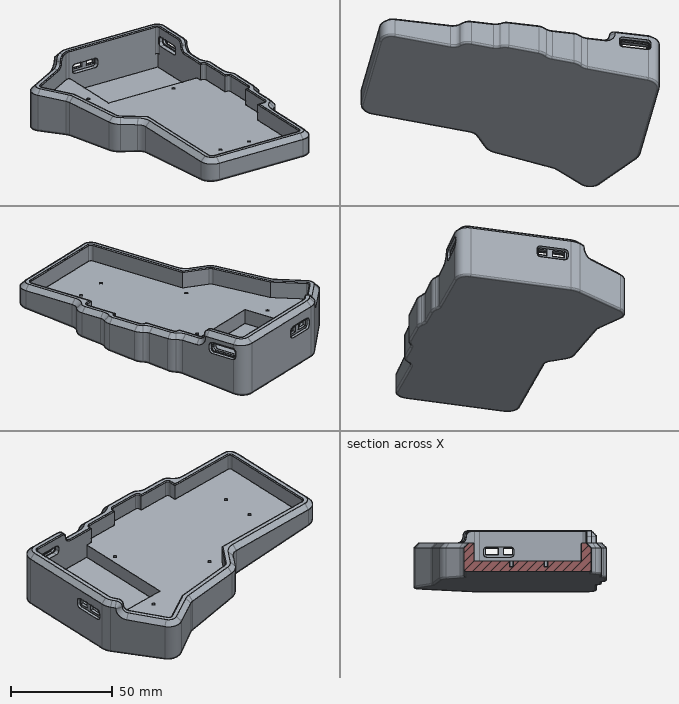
import cadquery as cq
import math

LENGTH = 139.8
WALL = 5.0
RIM_RISE = 6.0
DEPTH_BELOW_RIM = 24.3
TILT = 5.0

CORNER_RADIUS = 1.5
HOLLOW_RADIUS = 5.0
RIM_CHAMFER = 2.5
LIP_CHAMFER = 0.5
BASE_FILLET = 1.0

REAR_STEP = 2.5
STEP_PITCH = 18.2
FIRST_STEP_X = 42.8
REAR_LEFT_Y = 60.4
THUMB_ANGLE = 60.0
LEFT_CORNER = (WALL, 6.5)
LEFT_CORNER_RADIUS = 4.8
THUMB_TIP_X = 20.4
THUMB_TIP = (THUMB_TIP_X, LEFT_CORNER[1] - (THUMB_TIP_X - WALL) * math.tan(math.radians(THUMB_ANGLE)))
THUMB_SHOULDER = (37.2, -10.8)
PALM_CORNER = (70.3, -6.9)
PALM_CORNER_RADIUS = 2.8
FRONT_CORNER = (79.2, WALL)

FLOOR_Z = -9.0
POCKET_FLOOR_Z = -16.5
POCKET_RIGHT_X = 39.7
POCKET_FRONT_Y = 7.8

HOLE_DIAMETER = 1.5
HOLE_DEPTH = 2.8
HOLE_CENTRES = [(43.4, 43.9), (115.5, 40.5), (115.5, 23.5), (74.4, 8.8), (30.0, 2.2)]

STEP_MIDDLE_X = 25.7
STEP_FROM_CORNER = 6.6
STEP_RADIUS = RIM_RISE / 2

PORT_LENGTH = 15.0
PORT_HEIGHT = 5.0
PORT_RADIUS = 1.5
PORT_FLARE = 0.5
OUTER_RECESS = 1.1
INNER_RECESS = 2.4
LEFT_PORT_Y = 17.2
LEFT_PORT_Z = -4.6
LEFT_WINDOW_RISE = 0.3
LEFT_WINDOW_HEIGHT = 3.1
LEFT_WINDOWS = [(-4.6, 4.3), (3.4, 6.2)]
REAR_PORT_X = 13.1
REAR_PORT_Z = -1.8
REAR_WINDOW_LENGTH = 14.0
REAR_WINDOW_HEIGHT = 4.0

MARGIN = 7.0
TOLERANCE = 0.01


def cavity_corners():
    """Corners of the cavity, clockwise, each as (point, radius); radius 0 stays sharp."""
    low = REAR_LEFT_Y - REAR_STEP
    middle = REAR_LEFT_Y + REAR_STEP
    high = middle + REAR_STEP
    step_x = [FIRST_STEP_X + i * STEP_PITCH for i in range(4)]
    right = LENGTH - WALL
    return [
        (LEFT_CORNER, LEFT_CORNER_RADIUS),
        ((WALL, REAR_LEFT_Y), CORNER_RADIUS),
        ((step_x[0], REAR_LEFT_Y), 0),
        ((step_x[0], middle), CORNER_RADIUS),
        ((step_x[1], middle), 0),
        ((step_x[1], high), CORNER_RADIUS),
        ((step_x[2], high), CORNER_RADIUS),
        ((step_x[2], middle), 0),
        ((step_x[3], middle), CORNER_RADIUS),
        ((step_x[3], low), 0),
        ((right, low), CORNER_RADIUS),
        ((right, WALL), CORNER_RADIUS),
        (FRONT_CORNER, 0),
        (PALM_CORNER, PALM_CORNER_RADIUS),
        (THUMB_SHOULDER, 0),
        (THUMB_TIP, CORNER_RADIUS),
    ]


def corner_arc(before, corner, after, radius):
    """Start, middle and end of the arc that rounds a corner."""
    corner = cq.Vector(*corner)
    to_before = (cq.Vector(*before) - corner).normalized()
    to_after = (cq.Vector(*after) - corner).normalized()
    half_angle = to_before.getAngle(to_after) / 2
    tangent = radius / math.tan(half_angle)
    to_middle = radius / math.sin(half_angle) - radius
    bisector = (to_before + to_after).normalized()
    return corner + to_before * tangent, corner + bisector * to_middle, corner + to_after * tangent


def cavity_outline():
    corners = cavity_corners()
    outline = cq.Workplane("XY")
    for i, (corner, radius) in enumerate(corners):
        before = corners[i - 1][0]
        after = corners[(i + 1) % len(corners)][0]
        start, middle, end = corner_arc(before, corner, after, radius)
        outline = outline.lineTo(start.x, start.y) if i else outline.moveTo(start.x, start.y)
        if radius:
            outline = outline.threePointArc(middle.toTuple()[:2], end.toTuple()[:2])
    return outline.close()


def extruded(outline, bottom, top):
    return outline.extrude(top - bottom).translate((0, 0, bottom))


def outer_block():
    outline = cavity_outline().offset2D(WALL + HOLLOW_RADIUS).offset2D(-HOLLOW_RADIUS)
    return extruded(outline, -DEPTH_BELOW_RIM - MARGIN, RIM_RISE)


def rim_step_cutter(middle, direction):
    """Clears everything above the low rim beyond an S-shaped step at middle, facing direction."""
    r = STEP_RADIUS
    reach = 2 * LENGTH
    bend = r * math.sqrt(0.5)
    plane = cq.Plane(
        origin=(middle[0], middle[1], 0),
        xDir=(math.cos(direction), math.sin(direction), 0),
        normal=(math.sin(direction), -math.cos(direction), 0),
    )
    return (
        cq.Workplane(plane)
        .moveTo(-r, RIM_RISE)
        .threePointArc((bend - r, r + bend), (0, r))
        .threePointArc((r - bend, r - bend), (r, 0))
        .lineTo(reach, 0)
        .lineTo(reach, RIM_RISE + MARGIN)
        .lineTo(-r, RIM_RISE + MARGIN)
        .close()
        .extrude(reach, both=True)
    )


def tilted_base_cutter():
    size = 4 * LENGTH
    block = cq.Workplane("XY").box(size, size, LENGTH, centered=(True, True, False))
    block = block.translate((0, 0, -LENGTH))
    return block.rotate((0, 0, 0), (0, 1, 0), -TILT).translate((0, 0, -DEPTH_BELOW_RIM))


def port_recesses():
    """Both recesses of a port entering along +Y at Y = 0, centred on the origin."""
    face = cq.Workplane("XZ")
    flare_angle = math.degrees(math.atan2(PORT_FLARE, OUTER_RECESS))
    mouth = cq.Sketch().rect(PORT_LENGTH + 2 * PORT_FLARE, PORT_HEIGHT + 2 * PORT_FLARE)
    mouth = mouth.vertices().fillet(PORT_RADIUS + PORT_FLARE)
    straight = cq.Sketch().rect(PORT_LENGTH, PORT_HEIGHT).vertices().fillet(PORT_RADIUS)
    outer = face.placeSketch(mouth).extrude(-OUTER_RECESS, taper=flare_angle)
    inner = face.workplane(offset=INNER_RECESS - WALL).placeSketch(straight)
    return outer.union(inner.extrude(-INNER_RECESS))


def left_port():
    windows = cq.Workplane("XZ", origin=(0, 0, LEFT_WINDOW_RISE))
    port = port_recesses()
    for offset, length in LEFT_WINDOWS:
        port = port.union(windows.center(offset, 0).rect(length, LEFT_WINDOW_HEIGHT).extrude(-WALL))
    return port.rotate((0, 0, 0), (0, 0, 1), -90).translate((0, LEFT_PORT_Y, LEFT_PORT_Z))


def rear_port():
    window = cq.Sketch().rect(REAR_WINDOW_LENGTH, REAR_WINDOW_HEIGHT).vertices().fillet(PORT_RADIUS)
    port = port_recesses().union(cq.Workplane("XZ").placeSketch(window).extrude(-WALL))
    port = port.rotate((0, 0, 0), (0, 0, 1), 180)
    return port.translate((REAR_PORT_X, REAR_LEFT_Y + WALL, REAR_PORT_Z))


def rim_steps_cutter():
    """Lowers the rim to Z = 0 everywhere except the rear-left corner."""
    angled_wall = -math.radians(THUMB_ANGLE)
    angled_step = (
        LEFT_CORNER[0] + STEP_FROM_CORNER * math.cos(angled_wall),
        LEFT_CORNER[1] + STEP_FROM_CORNER * math.sin(angled_wall),
    )
    rear_cutter = rim_step_cutter((STEP_MIDDLE_X, REAR_LEFT_Y), 0)
    return rear_cutter.union(rim_step_cutter(angled_step, angled_wall))


def rim_edges(solid, wall_distance):
    """Rim edges that run at the given distance outside the cavity wall."""
    cavity = extruded(cavity_outline(), FLOOR_Z, RIM_RISE)
    cavity_wall = cq.Compound.makeCompound(cavity.faces("#Z or %CYLINDER").vals())
    edges = []
    for edge in solid.edges().vals():
        on_rim = edge.BoundingBox().zmin > -TOLERANCE
        middle = cq.Vertex.makeVertex(*edge.positionAt(0.5).toTuple())
        if on_rim and abs(cavity_wall.distance(middle) - wall_distance) < TOLERANCE:
            edges.append(edge)
    return solid.newObject(edges)


def pocket_cutter():
    pocket = cq.Workplane("XY").box(
        POCKET_RIGHT_X - WALL,
        REAR_LEFT_Y - POCKET_FRONT_Y,
        FLOOR_Z - POCKET_FLOOR_Z,
        centered=False,
    )
    return pocket.translate((WALL, POCKET_FRONT_Y, POCKET_FLOOR_Z))


def holes_cutter():
    holes = cq.Workplane("XY", origin=(0, 0, FLOOR_Z)).pushPoints(HOLE_CENTRES)
    return holes.circle(HOLE_DIAMETER / 2).extrude(-HOLE_DEPTH)


body = outer_block().cut(tilted_base_cutter())
body = body.faces("<Z").edges().fillet(BASE_FILLET)
body = body.cut(rim_steps_cutter())

body = body.cut(extruded(cavity_outline(), FLOOR_Z, RIM_RISE + MARGIN))
body = rim_edges(body, 0).chamfer(LIP_CHAMFER)
body = rim_edges(body, WALL).chamfer(RIM_CHAMFER)

body = body.cut(pocket_cutter()).cut(holes_cutter())
result = body.cut(left_port()).cut(rear_port())